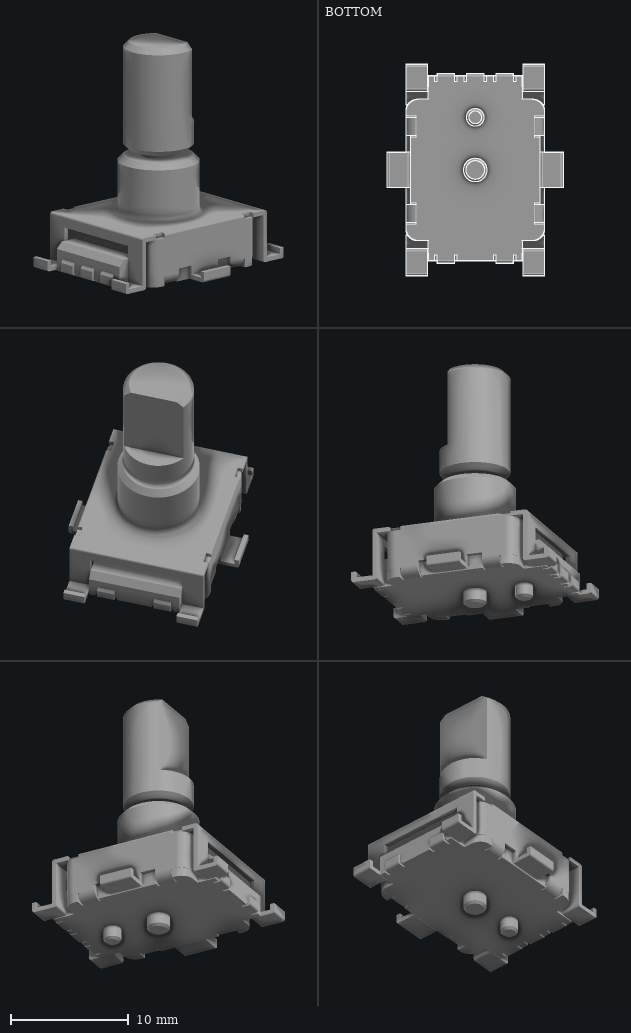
import cadquery as cq


TOTAL_HEIGHT = 20.8

SHAFT_DIA = 6.01
SHAFT_BOTTOM = 10.1
SHAFT_TOP = 19.6
SHAFT_CHAMFER = 0.5
NECK_DIA = 3.0
FLAT_OFFSET = 1.5
FLAT_BOTTOM = 12.6

BUSHING_DIA = 7.0
BUSHING_TOP = 9.6
BUSHING_CHAMFER = 0.5
BUSHING_ROOT_RADIUS = 0.5

SHEET = 0.4
FRAME_WIDTH = 11.8
FRAME_DEPTH = 14.15
FRAME_TOP = 4.62
BEND_RADIUS = 0.2
WINDOW_WIDTH = 8.11
WINDOW_TOP = 3.6
FOOT_SPAN = 18.0
LUG_SPAN = 15.0
LUG_WIDTH = 3.02
FOOT_BOTTOM = 0.05
FOOT_LIP_TOP = 0.98
RELIEF_INNER_Y = 4.51
RELIEF_LENGTH = 1.02
RELIEF_DEPTH = 0.45

BODY_DEPTH = 12.02
BODY_CORNER_RADIUS = 1.0
POST_CORNER_RADIUS = 1.1
POST_HEIGHT = 0.77
NOTCH_OUTER_Y = 2.93
NOTCH_HEIGHT = 1.25
TAB_OUTER_Y = 4.47
TAB_RADIUS = 0.85
SLIT_WIDTH = 0.12
OUTER_SLIT_HEIGHT = 0.8
INNER_SLIT_HEIGHT = 0.42

BLOCK_WIDTH = 7.99
BLOCK_DEPTH = 15.72
BLOCK_HEIGHT = 2.45
BLOCK_Y = -0.15
BLOCK_CHAMFER = 0.56
TERMINAL_PITCH = 2.5
TERMINAL_WIDTH = 1.5
TERMINAL_TOP = 1.1
TERMINAL_PROUD = 0.2
TERMINAL_RADIUS = 0.25
TERMINAL_SLOT_WIDTH = 1.9
TERMINAL_SLOT_HEIGHT = 0.2
TERMINAL_SLOT_DEPTH = 0.5
PEG_LENGTH = TOTAL_HEIGHT - SHAFT_TOP
PEG_CHAMFER = 0.2
CENTRE_PEG_DIA = 2.0
FRONT_PEG_DIA = 1.5
FRONT_PEG_Y = -4.47

WALL_X = FRAME_WIDTH / 2
CORE_X = WALL_X - SHEET
PLATE_BOTTOM = FRAME_TOP - SHEET
SIDES = (-1, 1)


def block(x_range, y_range, z_range):
    """Box between the given limits on each axis, in either order."""
    lows = [min(r) for r in (x_range, y_range, z_range)]
    sizes = [abs(r[1] - r[0]) for r in (x_range, y_range, z_range)]
    return cq.Workplane("XY").box(*sizes, centered=False).translate(tuple(lows))


def make_shaft():
    """Round shaft with a D flat on the +Y side, on a neck that stands on the bushing."""
    shaft = (
        cq.Workplane("XY", origin=(0, 0, SHAFT_BOTTOM))
        .circle(SHAFT_DIA / 2)
        .extrude(SHAFT_TOP - SHAFT_BOTTOM)
        .faces("<Z or >Z")
        .chamfer(SHAFT_CHAMFER)
    )
    flat = block((-SHAFT_DIA, SHAFT_DIA), (FLAT_OFFSET, SHAFT_DIA), (FLAT_BOTTOM, SHAFT_TOP))
    neck = (
        cq.Workplane("XY", origin=(0, 0, BUSHING_TOP))
        .circle(NECK_DIA / 2)
        .extrude(SHAFT_BOTTOM - BUSHING_TOP)
    )
    return shaft.cut(flat).union(neck)


def make_bushing():
    """Chamfered bushing with a concave fillet where it meets the top plate."""
    radius = BUSHING_DIA / 2
    return (
        cq.Workplane("XZ")
        .moveTo(0, PLATE_BOTTOM)
        .lineTo(radius + BUSHING_ROOT_RADIUS, PLATE_BOTTOM)
        .lineTo(radius + BUSHING_ROOT_RADIUS, FRAME_TOP)
        .radiusArc((radius, FRAME_TOP + BUSHING_ROOT_RADIUS), BUSHING_ROOT_RADIUS)
        .lineTo(radius, BUSHING_TOP - BUSHING_CHAMFER)
        .lineTo(radius - BUSHING_CHAMFER, BUSHING_TOP)
        .lineTo(0, BUSHING_TOP)
        .close()
        .revolve(360, (0, 0, 0), (0, 1, 0))
    )


def lipped_foot(plane, wall_outer, tip, leg_top, width, side):
    """Vertical leg that bends outward into a foot with a raised lip, extruded about the plane."""
    bend_axis = "|X" if plane == "YZ" else "|Y"
    foot_top = FOOT_BOTTOM + SHEET
    points = [
        (wall_outer - SHEET, leg_top),
        (wall_outer - SHEET, FOOT_BOTTOM),
        (tip, FOOT_BOTTOM),
        (tip, FOOT_LIP_TOP),
        (tip - SHEET, FOOT_LIP_TOP),
        (tip - SHEET, foot_top),
        (wall_outer, foot_top),
        (wall_outer, leg_top),
    ]
    return (
        cq.Workplane(plane)
        .polyline([(side * u, v) for u, v in points])
        .close()
        .extrude(width / 2, both=True)
        .faces("<Z")
        .edges(bend_axis)
        .fillet(BEND_RADIUS)
    )


def make_frame():
    """Top plate with folded end walls, four feet and two side lugs."""
    frame = cq.Workplane("XY", origin=(0, 0, PLATE_BOTTOM)).box(
        FRAME_WIDTH, FRAME_DEPTH, SHEET, centered=(True, True, False)
    )
    for side in SIDES:
        frame = frame.union(
            lipped_foot("YZ", FRAME_DEPTH / 2, FOOT_SPAN / 2, FRAME_TOP, FRAME_WIDTH, side)
        )
    window = block(
        (-WINDOW_WIDTH / 2, WINDOW_WIDTH / 2), (-FOOT_SPAN, FOOT_SPAN), (0, WINDOW_TOP)
    )
    frame = frame.cut(window).faces(">Z").edges("|X").fillet(BEND_RADIUS)
    for side in SIDES:
        frame = frame.union(lipped_foot("XZ", WALL_X, LUG_SPAN / 2, NOTCH_HEIGHT, LUG_WIDTH, side))
    return frame


def rounded_body(corner_radius, z_bottom, z_top):
    """Rectangular slab of the body with rounded vertical corners."""
    return (
        cq.Workplane("XY", origin=(0, 0, z_bottom))
        .rect(FRAME_WIDTH, BODY_DEPTH)
        .extrude(z_top - z_bottom)
        .edges("|Z")
        .fillet(corner_radius)
    )


def cut_body_side(body, x_side, y_side):
    """Cuts the lug notch and the rounded clamping tab with its slits at one quarter of the body."""

    def recess(depth, y_range, height):
        x_range = (x_side * (WALL_X - depth), x_side * WALL_X)
        return block(x_range, [y_side * y for y in y_range], (0, height))

    notch = recess(SHEET, (LUG_WIDTH / 2, NOTCH_OUTER_Y), NOTCH_HEIGHT)
    rounding = recess(TAB_RADIUS, (NOTCH_OUTER_Y, TAB_OUTER_Y), TAB_RADIUS)
    tab = (
        cq.Workplane("XZ", origin=(x_side * (WALL_X - TAB_RADIUS), 0, TAB_RADIUS))
        .circle(TAB_RADIUS)
        .extrude(BODY_DEPTH, both=True)
    )
    outer_slit = recess(TAB_RADIUS, (TAB_OUTER_Y, TAB_OUTER_Y + SLIT_WIDTH), OUTER_SLIT_HEIGHT)
    inner_slit = recess(TAB_RADIUS, (NOTCH_OUTER_Y - SLIT_WIDTH, NOTCH_OUTER_Y), INNER_SLIT_HEIGHT)
    return body.cut(notch).cut(rounding.cut(tab)).cut(outer_slit).cut(inner_slit)


def make_body():
    """Rounded body under the top plate, with a slightly rounder foot at its corner posts."""
    body = rounded_body(BODY_CORNER_RADIUS, POST_HEIGHT, PLATE_BOTTOM)
    body = body.union(rounded_body(POST_CORNER_RADIUS, 0, POST_HEIGHT))
    for x_side in SIDES:
        lug_opening = block(
            (x_side * CORE_X, x_side * WALL_X), (-LUG_WIDTH / 2, LUG_WIDTH / 2), (0, NOTCH_HEIGHT)
        )
        body = body.cut(lug_opening)
        for y_side in SIDES:
            body = cut_body_side(body, x_side, y_side)
    return body


def make_terminal_block():
    """Bar that passes out through both end windows, chamfered along its upper ends."""
    return (
        cq.Workplane("XY")
        .box(BLOCK_WIDTH, BLOCK_DEPTH, BLOCK_HEIGHT, centered=(True, True, False))
        .faces(">Z")
        .edges("|X")
        .chamfer(BLOCK_CHAMFER)
    )


def make_terminal(x, y_side):
    """Terminal end that stands proud of the block, sloped at the top and rounded at the bottom."""
    face = BLOCK_DEPTH / 2
    tip = face + TERMINAL_PROUD
    heel = face - TERMINAL_SLOT_DEPTH
    return (
        cq.Workplane("YZ", origin=(x, 0, 0))
        .moveTo(y_side * heel, 0)
        .lineTo(y_side * (tip - TERMINAL_RADIUS), 0)
        .radiusArc((y_side * tip, TERMINAL_RADIUS), -y_side * TERMINAL_RADIUS)
        .lineTo(y_side * tip, TERMINAL_TOP - TERMINAL_RADIUS)
        .lineTo(y_side * face, TERMINAL_TOP)
        .lineTo(y_side * heel, TERMINAL_TOP)
        .close()
        .extrude(TERMINAL_WIDTH / 2, both=True)
    )


def make_terminal_slot(x, y_side):
    """Shallow slot under the block, a little wider than the terminal that lies in it."""
    face = BLOCK_DEPTH / 2
    return block(
        (x - TERMINAL_SLOT_WIDTH / 2, x + TERMINAL_SLOT_WIDTH / 2),
        (y_side * (face - TERMINAL_SLOT_DEPTH), y_side * face),
        (0, TERMINAL_SLOT_HEIGHT),
    )


def make_peg(diameter, y):
    """Locating peg under the base, chamfered at its tip."""
    return (
        cq.Workplane("XY", origin=(0, y, 0))
        .circle(diameter / 2)
        .extrude(-PEG_LENGTH)
        .faces("<Z")
        .chamfer(PEG_CHAMFER)
    )


def cut_reliefs(housing):
    """Cuts the four bend reliefs in the plate and rounds its side edges between them."""
    for x_side in SIDES:
        for y_side in SIDES:
            relief = block(
                (x_side * (WALL_X - RELIEF_DEPTH), x_side * WALL_X),
                (y_side * RELIEF_INNER_Y, y_side * (RELIEF_INNER_Y + RELIEF_LENGTH)),
                (PLATE_BOTTOM, FRAME_TOP),
            )
            housing = housing.cut(relief)
    for x_side in SIDES:
        side_edge = cq.selectors.NearestToPointSelector((x_side * WALL_X, 0, FRAME_TOP))
        housing = housing.edges("|Y").edges(side_edge).fillet(BEND_RADIUS)
    return housing


def make_housing():
    """Frame, bushing, body, terminal block and pegs as one solid."""
    terminals = [(x, -1) for x in (-TERMINAL_PITCH, 0, TERMINAL_PITCH)]
    terminals += [(x, 1) for x in (-TERMINAL_PITCH, TERMINAL_PITCH)]

    terminal_block = make_terminal_block()
    for x, y_side in terminals:
        terminal_block = terminal_block.cut(make_terminal_slot(x, y_side))
        terminal_block = terminal_block.union(make_terminal(x, y_side))
    terminal_block = terminal_block.translate((0, BLOCK_Y, 0))

    housing = cut_reliefs(make_body().union(make_frame()))
    housing = housing.union(make_bushing()).union(terminal_block)
    housing = housing.union(make_peg(CENTRE_PEG_DIA, 0))
    return housing.union(make_peg(FRONT_PEG_DIA, FRONT_PEG_Y))


shaft = make_shaft().solids()
housing = make_housing().solids()

result = cq.Compound.makeCompound([shaft.val(), housing.val()])